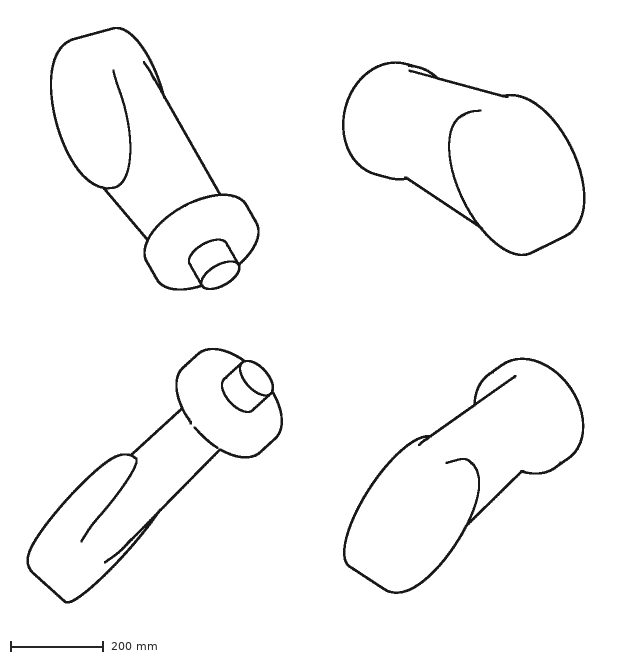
import cadquery as cq
import math

drum_radius = 333.0 / 2
drum_front = -73.5
drum_back = 54.0
drum_front_round = 31.0
drum_back_round = 2.0

tilt = 23.0
arm_width = 85.0
arm_round = 8.0
flange_offset = 55.5
flange_radius = 248.0 / 2
flange_start = 395.0
flange_thickness = 64.5
flange_round = 7.0
stub_radius = 91.0 / 2
stub_length = 62.5


def make_drum():
    depth = drum_back - drum_front
    drum = cq.Workplane("XZ", origin=(0, drum_back, 0)).circle(drum_radius).extrude(depth)
    drum = drum.faces("<Y").edges().fillet(drum_front_round)
    return drum.faces(">Y").edges().fillet(drum_back_round)


def make_arm():
    """Plate with both edges tangent to the drum, narrowing to the flange."""
    end_top = drum_radius
    end_bottom = 2 * flange_offset - end_top
    corner_distance = math.hypot(flange_start, end_bottom)
    tangent_angle = math.atan2(end_bottom, flange_start) - math.acos(drum_radius / corner_distance)
    tangent_x = drum_radius * math.cos(tangent_angle)
    tangent_z = drum_radius * math.sin(tangent_angle)
    plate = (
        cq.Workplane("XZ", origin=(0, arm_width / 2, 0))
        .moveTo(0, drum_radius)
        .lineTo(flange_start, end_top)
        .lineTo(flange_start, end_bottom)
        .lineTo(tangent_x, tangent_z)
        .lineTo(0, 0)
        .close()
        .extrude(arm_width)
    )
    upper_edges = plate.faces(">Z").edges("|X")
    lower_face = cq.selectors.DirectionMinMaxSelector(
        cq.Vector(math.cos(tangent_angle), 0, math.sin(tangent_angle)), True
    )
    lower_edges = plate.faces(lower_face).edges("not(|Y)")
    return plate.newObject(upper_edges.vals() + lower_edges.vals()).fillet(arm_round)


def make_disc(start, radius, length):
    return cq.Workplane("YZ", origin=(start, 0, flange_offset)).circle(radius).extrude(length)


def make_tilted_body():
    flange = make_disc(flange_start, flange_radius, flange_thickness)
    flange = flange.faces("<X or >X").edges().fillet(flange_round)
    stub = make_disc(flange_start + flange_thickness, stub_radius, stub_length)
    body = make_arm().union(flange)
    margin = 0.1
    joint = cq.selectors.BoxSelector(
        (flange_start - margin, -arm_width / 2 - margin, -drum_radius),
        (flange_start + margin, arm_width / 2 + margin, drum_radius + margin),
        boundingbox=True,
    )
    body = body.edges(joint).fillet(arm_round)
    return body.union(stub).rotate((0, 0, 0), (0, 1, 0), tilt)


result = make_drum().union(make_tilted_body())